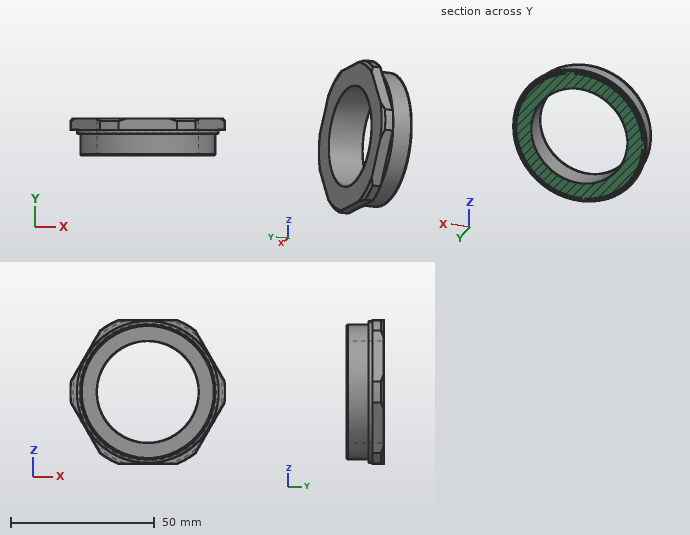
import cadquery as cq
import math

flat_count = 6
across_flats = 50.0
corner_diameter = 54.0
flange_thickness = 4.0
flange_chamfer = 1.0

spigot_diameter = 47.0
spigot_length = 9.0
spigot_chamfer = 0.5

ring_section_diameter = 1.4
ring_outer_diameter = 49.4

bore_diameter = 35.4


def cylinder(diameter, start_y, length):
    """Cylinder on the part axis, growing towards +Y from start_y."""
    base = cq.Workplane("XZ", origin=(0, start_y, 0))
    return base.circle(diameter / 2).extrude(-length)


def make_flange():
    """Hexagon with turned corners that are chamfered at the outer face."""
    across_corners = across_flats / math.cos(math.pi / flat_count)
    hexagon = cq.Workplane("XZ").polygon(flat_count, across_corners).extrude(-flange_thickness)
    turned_blank = cylinder(corner_diameter, 0, flange_thickness)
    turned_blank = turned_blank.faces(">Y").chamfer(flange_chamfer)
    return hexagon.intersect(turned_blank)


def make_spigot():
    """Plain spigot with a chamfered free end."""
    spigot = cylinder(spigot_diameter, -spigot_length, spigot_length)
    return spigot.faces("<Y").chamfer(spigot_chamfer)


def make_sealing_ring():
    """Round-section ring, partly sunk into the spigot surface."""
    section_radius = ring_section_diameter / 2
    centre_radius = ring_outer_diameter / 2 - section_radius
    section = cq.Workplane("XY").center(centre_radius, -section_radius).circle(section_radius)
    axis_start = (-centre_radius, 0)
    axis_end = (-centre_radius, 1)
    return section.revolve(360, axis_start, axis_end)


body = make_flange().union(make_spigot()).union(make_sealing_ring())
bore = cylinder(bore_diameter, -spigot_length, spigot_length + flange_thickness)
result = body.cut(bore)